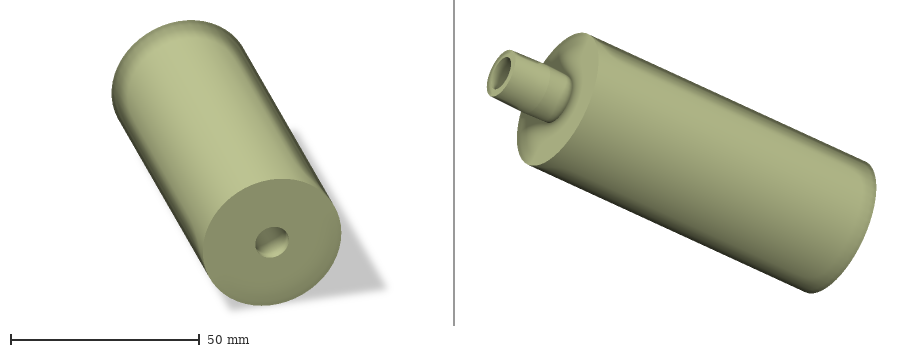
import cadquery as cq

total_length = 107.47
body_diameter = 38.1

spigot_length = 18.2
tip_cone_length = 10.85
tip_diameter = 13.4
ridge_diameter = 14.07
root_diameter = 13.6

bore_diameter = 9.25

tip_x = -total_length / 2
ridge_x = tip_x + tip_cone_length
shoulder_x = tip_x + spigot_length
end_x = total_length / 2


def make_outer_form():
    """Body cylinder and tapered spigot, revolved as one half profile about X."""
    half_profile = [
        (tip_x, 0),
        (tip_x, tip_diameter / 2),
        (ridge_x, ridge_diameter / 2),
        (shoulder_x, root_diameter / 2),
        (shoulder_x, body_diameter / 2),
        (end_x, body_diameter / 2),
        (end_x, 0),
    ]
    profile = cq.Workplane("XY").polyline(half_profile).close()
    return profile.revolve(360, (0, 0, 0), (1, 0, 0))


def make_bore():
    """Straight through bore along X."""
    start = cq.Workplane("YZ", origin=(tip_x, 0, 0))
    return start.circle(bore_diameter / 2).extrude(total_length)


result = make_outer_form().cut(make_bore())